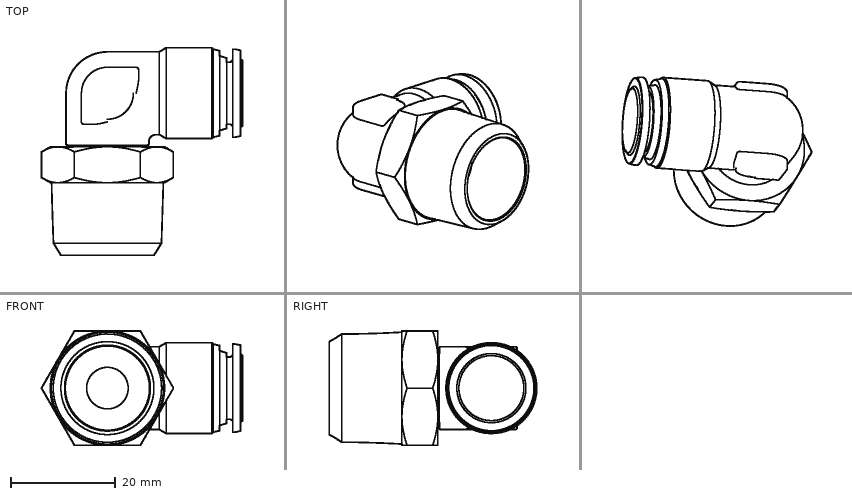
import cadquery as cq
import math

body_radius = 8.0
body_bottom_y = -10.0
body_bottom_round = 0.3
inner_corner_round = 1.25

pad_back_side = 5.0
pad_front_side = 6.0
pad_edge_round = 0.5
pad_corner_round = pad_back_side
pad_inner_radius = 5.0

neck_radius = 6.65
hex_sides = 6
hex_across_flats = 22.0
hex_top_y = -10.3
hex_bottom_y = -17.2
hex_chamfer_angle = 30.0

thread_bottom_y = -31.2
thread_chamfer_length = 2.4
thread_tip_radius = 8.95
thread_end_radius = 10.42
thread_taper = 1 / 32

bore_radius = 8.1
bore_rim_chamfer = 0.17
bore_depth = 14.0
bore_floor_radius = 4.0
bore_cone_angle = 120.0

sleeve_radius = 8.75
sleeve_start_x = 10.0
sleeve_full_x = 11.3
sleeve_end_x = 20.1
cap_start_x = 20.35
cap_start_radius = 8.5
cap_end_x = 21.6
cap_end_radius = 8.2
collar_start_radius = 7.2
collar_end_x = 22.9
collar_end_radius = 6.8

release_neck_radius = 6.0
release_neck_round = 0.6
flange_start_x = 24.1
flange_rim_x = 24.5
flange_radius = 8.5
flange_end_x = 25.6
flange_end_radius = 8.3
flange_edge_chamfer = 0.1
lip_end_x = 26.0
lip_start_radius = 6.65
lip_end_radius = 6.25


def y_cylinder(radius, start_y, end_y):
    """Cylinder on the Y axis running from start_y down to end_y."""
    return cq.Workplane("XZ", origin=(0, start_y, 0)).circle(radius).extrude(start_y - end_y)


def make_elbow():
    """Two equal cylinders joined by a ball at the corner."""
    thread_branch = y_cylinder(body_radius, 0, body_bottom_y).faces("<Y").edges().fillet(body_bottom_round)
    tube_branch = cq.Workplane("YZ").circle(body_radius).extrude(sleeve_start_x)
    ball = cq.Workplane("XY").sphere(body_radius)
    return thread_branch.union(tube_branch).union(ball)


def make_pads():
    """Pad block through the body; its inner corner is cut back to a sharp arc."""
    width = pad_back_side + pad_front_side
    center = (pad_front_side - pad_back_side) / 2
    block = (
        cq.Workplane("XY")
        .center(center, -center)
        .rect(width, width)
        .extrude(body_radius, both=True)
        .edges("|Z and <X and >Y")
        .fillet(pad_corner_round)
        .edges("|Z and ((>X and >Y) or (<X and <Y))")
        .fillet(pad_edge_round)
        .faces("<Z or >Z")
        .edges()
        .fillet(pad_edge_round)
    )
    corner = (
        cq.Workplane("XY")
        .rect(width, -width, centered=False)
        .extrude(body_radius, both=True)
        .cut(cq.Workplane("XY").circle(pad_inner_radius).extrude(body_radius, both=True))
    )
    return block.cut(corner)


def round_inner_corner(elbow):
    """Round the seam where the two branches meet on the inside of the bend."""
    near = body_radius / 2
    far = 2 * body_radius
    seam_region = cq.selectors.BoxSelector((near, -near, -far), (far, -far, far))
    return elbow.edges(seam_region).fillet(inner_corner_round)


def make_hex_nut():
    """Hexagon with corners on the X axis, both faces chamfered down to the flats' circle."""
    flat_radius = hex_across_flats / 2
    corner_radius = flat_radius / math.cos(math.pi / hex_sides)
    drop = (corner_radius - flat_radius) * math.tan(math.radians(hex_chamfer_angle))
    prism = (
        cq.Workplane("XZ", origin=(0, hex_top_y, 0))
        .polygon(hex_sides, 2 * corner_radius)
        .extrude(hex_top_y - hex_bottom_y)
    )
    envelope = (
        cq.Workplane("XY")
        .moveTo(0, hex_top_y)
        .lineTo(flat_radius, hex_top_y)
        .lineTo(corner_radius, hex_top_y - drop)
        .lineTo(corner_radius, hex_bottom_y + drop)
        .lineTo(flat_radius, hex_bottom_y)
        .lineTo(0, hex_bottom_y)
        .close()
        .revolve(360, (0, 0), (0, 1))
    )
    return prism.intersect(envelope)


def make_thread():
    """Tapered thread blank with a chamfered tip."""
    chamfer_y = thread_bottom_y + thread_chamfer_length
    root_radius = thread_end_radius + thread_taper * (hex_bottom_y - chamfer_y)
    return (
        cq.Workplane("XY")
        .moveTo(0, hex_bottom_y)
        .lineTo(root_radius, hex_bottom_y)
        .lineTo(thread_end_radius, chamfer_y)
        .lineTo(thread_tip_radius, thread_bottom_y)
        .lineTo(0, thread_bottom_y)
        .close()
        .revolve(360, (0, 0), (0, 1))
    )


def make_bore():
    """Cutter for the blind bore: rim chamfer, straight wall, conical bottom, flat floor."""
    cone_y = thread_bottom_y + bore_depth
    cone_depth = (bore_radius - bore_floor_radius) / math.tan(math.radians(bore_cone_angle / 2))
    floor_y = cone_y + cone_depth
    return (
        cq.Workplane("XY")
        .moveTo(0, thread_bottom_y)
        .lineTo(bore_radius + bore_rim_chamfer, thread_bottom_y)
        .lineTo(bore_radius, thread_bottom_y + bore_rim_chamfer)
        .lineTo(bore_radius, cone_y)
        .lineTo(bore_floor_radius, floor_y)
        .lineTo(0, floor_y)
        .close()
        .revolve(360, (0, 0), (0, 1))
    )


def make_socket():
    """Sleeve, end cap and release ring, turned about the X axis."""
    round_start_x = flange_start_x - release_neck_round
    round_end_radius = release_neck_radius + release_neck_round
    return (
        cq.Workplane("XY")
        .moveTo(sleeve_start_x, 0)
        .lineTo(sleeve_start_x, body_radius)
        .lineTo(sleeve_full_x, sleeve_radius)
        .lineTo(sleeve_end_x, sleeve_radius)
        .lineTo(cap_start_x, cap_start_radius)
        .lineTo(cap_end_x, cap_end_radius)
        .lineTo(cap_end_x, collar_start_radius)
        .lineTo(collar_end_x, collar_end_radius)
        .lineTo(collar_end_x, release_neck_radius)
        .lineTo(round_start_x, release_neck_radius)
        .radiusArc((flange_start_x, round_end_radius), -release_neck_round)
        .lineTo(flange_start_x, flange_radius)
        .lineTo(flange_rim_x, flange_radius)
        .lineTo(flange_end_x - flange_edge_chamfer, flange_end_radius)
        .lineTo(flange_end_x, flange_end_radius - flange_edge_chamfer)
        .lineTo(flange_end_x, lip_start_radius)
        .lineTo(lip_end_x, lip_end_radius)
        .lineTo(lip_end_x, 0)
        .close()
        .revolve(360, (0, 0), (1, 0))
    )


elbow = round_inner_corner(make_elbow().union(make_pads()))
neck = y_cylinder(neck_radius, body_bottom_y, hex_top_y)
result = (
    elbow.union(make_socket())
    .union(neck)
    .union(make_hex_nut())
    .union(make_thread())
    .cut(make_bore())
)